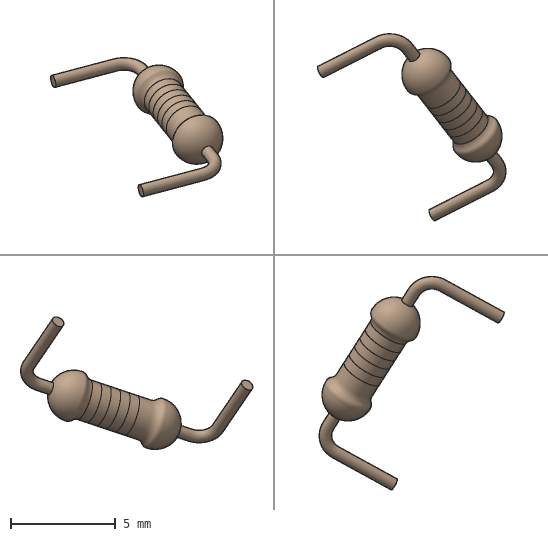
import cadquery as cq
import math

LENGTH = 10.6
LEAD_TIP_Y = -4.25

LEAD_DIAMETER = 0.6
BEND_RADIUS = 1.0

BARREL_RADIUS = 2.0 / 2
BARREL_HALF_LENGTH = 1.58
CAP_RADIUS = 1.25
CAP_CENTER_X = 2.15
FLARE_RADIUS = 0.5

BAND_COUNT = 5
BAND_WIDTH = 0.5
BAND_DEPTH = 0.1
FIRST_BAND_X = -1.64


def build_lead():
    """Sweep the wire along its centre line, from one tip to the other."""
    leg_x = (LENGTH - LEAD_DIAMETER) / 2
    straight_x = leg_x - BEND_RADIUS
    bend_mid = BEND_RADIUS * (1 - math.sqrt(0.5))
    path = (
        cq.Workplane("XY")
        .moveTo(-leg_x, LEAD_TIP_Y)
        .lineTo(-leg_x, -BEND_RADIUS)
        .threePointArc((-leg_x + bend_mid, -bend_mid), (-straight_x, 0))
        .lineTo(straight_x, 0)
        .threePointArc((leg_x - bend_mid, -bend_mid), (leg_x, -BEND_RADIUS))
        .lineTo(leg_x, LEAD_TIP_Y)
    )
    tip = cq.Workplane("XZ", origin=(-leg_x, LEAD_TIP_Y, 0)).circle(LEAD_DIAMETER / 2)
    return tip.sweep(path)


def build_blank():
    """Revolve the half outline of the body, without its bore and band grooves."""
    pole_x = CAP_CENTER_X + CAP_RADIUS
    cap_mid = CAP_RADIUS * math.sqrt(0.5)
    cap_mid_x = CAP_CENTER_X + cap_mid

    flare_center_y = BARREL_RADIUS + FLARE_RADIUS
    center_gap_x = CAP_CENTER_X - BARREL_HALF_LENGTH
    center_drop = flare_center_y - CAP_RADIUS
    rim_radius = (center_gap_x**2 + center_drop**2 - FLARE_RADIUS**2) / (2 * (FLARE_RADIUS - center_drop))

    turn = math.atan2(center_gap_x, center_drop + rim_radius)
    rim_center_y = CAP_RADIUS - rim_radius

    def flare_point(side, angle):
        x = BARREL_HALF_LENGTH + FLARE_RADIUS * math.sin(angle)
        return side * x, flare_center_y - FLARE_RADIUS * math.cos(angle)

    def rim_point(side, angle):
        x = CAP_CENTER_X - rim_radius * math.sin(angle)
        return side * x, rim_center_y + rim_radius * math.cos(angle)

    return (
        cq.Workplane("XY")
        .moveTo(-pole_x, 0)
        .threePointArc((-cap_mid_x, cap_mid), (-CAP_CENTER_X, CAP_RADIUS))
        .threePointArc(rim_point(-1, turn / 2), flare_point(-1, turn))
        .threePointArc(flare_point(-1, turn / 2), (-BARREL_HALF_LENGTH, BARREL_RADIUS))
        .lineTo(BARREL_HALF_LENGTH, BARREL_RADIUS)
        .threePointArc(flare_point(1, turn / 2), flare_point(1, turn))
        .threePointArc(rim_point(1, turn / 2), (CAP_CENTER_X, CAP_RADIUS))
        .threePointArc((cap_mid_x, cap_mid), (pole_x, 0))
        .close()
        .revolve(360, (0, 0, 0), (1, 0, 0))
    )


def build_band(blank, start_x):
    """Ring cut from the outer skin of the blank, so it follows the body surface."""
    skin = (
        cq.Workplane("YZ", origin=(start_x, 0, 0))
        .circle(CAP_RADIUS)
        .circle(BARREL_RADIUS - BAND_DEPTH)
        .extrude(BAND_WIDTH)
    )
    return blank.intersect(skin)


def build_body(blank, lead, bands):
    """Blank with a bore for the lead and a groove for each band."""
    body = blank.cut(lead)
    for band in bands:
        body = body.cut(band)
    return body


lead = build_lead()
blank = build_blank()
bands = [build_band(blank, FIRST_BAND_X + i * BAND_WIDTH) for i in range(BAND_COUNT)]
body = build_body(blank, lead, bands)

result = cq.Compound.makeCompound(
    [*body.solids().vals(), *lead.solids().vals(), *[band.solids().val() for band in bands]]
)